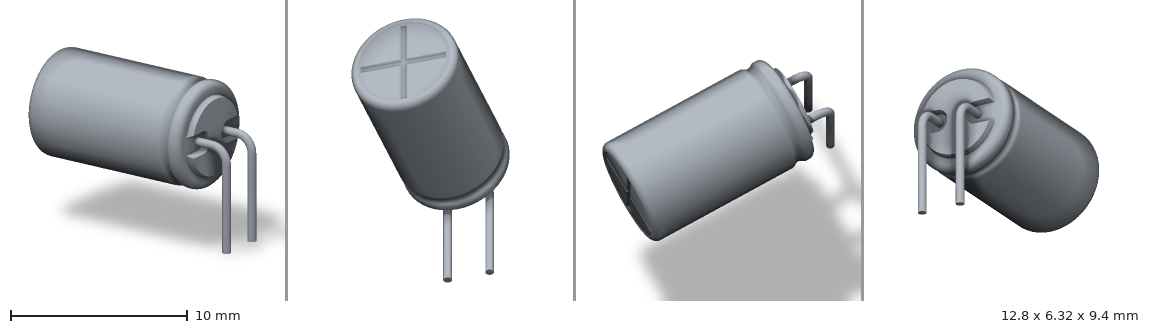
import cadquery as cq
import math

overall_length = 12.76
overall_height = 9.4
can_diameter = 6.32
can_length = 10.5
edge_radius = 0.4
can_radius = can_diameter / 2

groove_center = 9.48
groove_depth = 0.18
groove_half_bottom = 0.25
shoulder_length = 0.23

recess_depth = 0.05
recess_floor_diameter = 5.3
slot_length = 5.12
slot_width = 0.42
slot_depth = 0.1
slot_taper_inset = 0.1

plug_length = 0.38
plug_base_radius = 2.39
plug_tip_radius = 2.27
notch_base_width = 1.07
notch_tip_width = 1.37

lead_diameter = 0.5
lead_pitch = 2.49
bend_radius = 1.0
lead_drop = overall_height - can_radius
lead_x = overall_length - lead_diameter / 2


def make_can():
    """Revolve the can profile, with rounded ends and the rolled groove."""
    half_angle = 2 * math.atan(groove_depth / (shoulder_length + groove_half_bottom))
    shoulder_radius = shoulder_length / math.sin(half_angle)
    shoulder_drop = shoulder_radius * (1 - math.cos(half_angle))
    shoulder_mid_x = shoulder_radius * math.sin(half_angle / 2)
    shoulder_mid_drop = shoulder_radius * (1 - math.cos(half_angle / 2))
    groove_half_width = groove_half_bottom + shoulder_length
    groove_start = groove_center - groove_half_width
    groove_end = groove_center + groove_half_width
    inflection_radius = can_radius - shoulder_drop
    shoulder_mid_radius = can_radius - shoulder_mid_drop
    corner_mid = edge_radius * (1 - math.sqrt(0.5))

    profile = (
        cq.Workplane("XY")
        .lineTo(0, can_radius - edge_radius)
        .threePointArc((corner_mid, can_radius - corner_mid), (edge_radius, can_radius))
        .lineTo(groove_start, can_radius)
        .threePointArc(
            (groove_start + shoulder_mid_x, shoulder_mid_radius),
            (groove_center - groove_half_bottom, inflection_radius),
        )
        .threePointArc(
            (groove_center, can_radius - groove_depth),
            (groove_center + groove_half_bottom, inflection_radius),
        )
        .threePointArc(
            (groove_end - shoulder_mid_x, shoulder_mid_radius),
            (groove_end, can_radius),
        )
        .lineTo(can_length - edge_radius, can_radius)
        .threePointArc(
            (can_length - corner_mid, can_radius - corner_mid),
            (can_length, can_radius - edge_radius),
        )
        .lineTo(can_length, 0)
        .close()
    )
    return profile.revolve(360, (0, 0, 0), (1, 0, 0))


def make_end_recess():
    """Conical recess that starts at the inner edge of the rounded rim."""
    return (
        cq.Workplane("YZ")
        .circle(can_radius - edge_radius)
        .workplane(offset=recess_depth)
        .circle(recess_floor_diameter / 2)
        .loft(ruled=True)
    )


def make_slot(length, width):
    """Slot in the recess floor; all four walls lean inward."""
    return (
        cq.Workplane("YZ", origin=(recess_depth, 0, 0))
        .rect(length, width)
        .workplane(offset=slot_depth)
        .rect(length - 2 * slot_taper_inset, width - 2 * slot_taper_inset)
        .loft(ruled=True)
    )


def make_notch(side):
    """Flared notch, rounded around one lead and open through the plug rim."""

    def outline(x, width):
        half_width = width / 2
        lead_y = side * lead_pitch / 2
        outer_y = side * can_radius
        return (
            cq.Workplane("YZ", origin=(x, 0, 0))
            .moveTo(outer_y, half_width)
            .lineTo(lead_y, half_width)
            .threePointArc((lead_y - side * half_width, 0), (lead_y, -half_width))
            .lineTo(outer_y, -half_width)
            .close()
            .wires()
            .val()
        )

    base = outline(can_length, notch_base_width)
    tip = outline(can_length + plug_length, notch_tip_width)
    return cq.Workplane(cq.Solid.makeLoft([base, tip], True))


def make_plug():
    """Tapered plug with a notch for each lead."""
    plug = (
        cq.Workplane("YZ", origin=(can_length, 0, 0))
        .circle(plug_base_radius)
        .workplane(offset=plug_length)
        .circle(plug_tip_radius)
        .loft(ruled=True)
    )
    for side in (-1, 1):
        plug = plug.cut(make_notch(side))
    return plug


def make_lead(y):
    """Round wire leaving the can along X and bending down to -Z."""
    bend_start = lead_x - bend_radius
    bend_mid = (
        bend_start + bend_radius * math.sqrt(0.5),
        -bend_radius * (1 - math.sqrt(0.5)),
    )
    path = (
        cq.Workplane("XZ", origin=(0, y, 0))
        .moveTo(groove_center, 0)
        .lineTo(bend_start, 0)
        .threePointArc(bend_mid, (lead_x, -bend_radius))
        .lineTo(lead_x, -lead_drop)
    )
    return (
        cq.Workplane("YZ", origin=(groove_center, y, 0))
        .circle(lead_diameter / 2)
        .sweep(path)
    )


result = make_can().cut(make_end_recess())
for length, width in ((slot_length, slot_width), (slot_width, slot_length)):
    result = result.cut(make_slot(length, width))
result = result.union(make_plug())
for side in (-1, 1):
    result = result.union(make_lead(side * lead_pitch / 2))